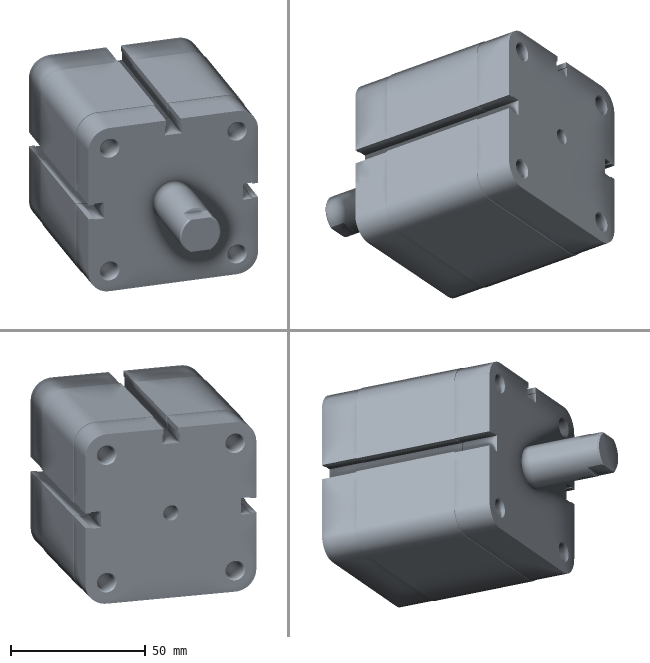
import cadquery as cq

overall_length = 103.5
body_length = 71.0
tube_length = 41.5
tube_width = 67.0
cap_inset = 0.25

hole_spacing = 50.0
hole_diameter = 6.6
hole_chamfer = 0.5
port_diameter = 6.0

slot_mouth_width = 5.2
slot_inner_width = 6.0
slot_lip = 2.7
slot_depth = 6.0

rod_diameter = 16.0
rod_chamfer = 0.5
flat_width = 13.0
flat_length = 6.3
flat_runout = 0.3

cap_length = (body_length - tube_length) / 2
tube_start = cap_length
front_cap_start = cap_length + tube_length
rod_length = overall_length - body_length
corner_radius = (tube_width - hole_spacing) / 2
slot_angles = (0, 90, -90)


def slot_cutter(start, length, inset):
    """T-slot in the +Z side; the inset widens and deepens it."""
    half_mouth = slot_mouth_width / 2 + inset
    half_inner = slot_inner_width / 2 + inset
    side = tube_width / 2
    lip_bottom = side - slot_lip + inset
    slot_bottom = side - slot_depth - inset
    return (
        cq.Workplane("YZ", origin=(start, 0, 0))
        .moveTo(-half_mouth, side)
        .lineTo(-half_mouth, lip_bottom)
        .lineTo(-half_inner, lip_bottom)
        .lineTo(-half_inner, slot_bottom)
        .lineTo(half_inner, slot_bottom)
        .lineTo(half_inner, lip_bottom)
        .lineTo(half_mouth, lip_bottom)
        .lineTo(half_mouth, side)
        .close()
        .extrude(length)
    )


def body_section(start, length, inset):
    """Rounded square block with three T-slots and four through holes along X."""
    width = tube_width - 2 * inset
    block = (
        cq.Workplane("YZ", origin=(start, 0, 0))
        .rect(width, width)
        .extrude(length)
        .edges("|X")
        .fillet(corner_radius - inset)
    )
    slot = slot_cutter(start, length, inset)
    for angle in slot_angles:
        block = block.cut(slot.rotate((0, 0, 0), (1, 0, 0), angle))
    holes = (
        cq.Workplane("YZ", origin=(start, 0, 0))
        .rect(hole_spacing, hole_spacing, forConstruction=True)
        .vertices()
        .circle(hole_diameter / 2)
        .extrude(length)
    )
    return block.cut(holes)


def chamfer_holes(cap, outer_face):
    """Chamfer the mouths of the four through holes on a cap's outer face."""
    smallest_circles = cq.selectors.RadiusNthSelector(0)
    return cap.faces(outer_face).edges(smallest_circles).chamfer(hole_chamfer)


rear_cap = chamfer_holes(body_section(0, cap_length, cap_inset), "<X")
port = cq.Workplane("YZ").circle(port_diameter / 2).extrude(cap_length)
rear_cap = rear_cap.cut(port)

tube = body_section(tube_start, tube_length, 0)

front_cap = chamfer_holes(body_section(front_cap_start, cap_length, cap_inset), ">X")


def flat_cutter():
    """Material removed above the upper flat; its inner wall slopes."""
    rod_radius = rod_diameter / 2
    flat_start = overall_length - flat_length
    return (
        cq.Workplane("XZ")
        .moveTo(flat_start, flat_width / 2)
        .lineTo(overall_length, flat_width / 2)
        .lineTo(overall_length, rod_radius)
        .lineTo(flat_start - flat_runout, rod_radius)
        .close()
        .extrude(rod_radius, both=True)
    )


piston_rod = (
    cq.Workplane("YZ", origin=(body_length, 0, 0))
    .circle(rod_diameter / 2)
    .extrude(rod_length)
    .faces(">X")
    .chamfer(rod_chamfer)
)
upper_flat = flat_cutter()
piston_rod = piston_rod.cut(upper_flat).cut(upper_flat.mirror("XY"))

result = cq.Compound.makeCompound(
    [rear_cap.val(), tube.val(), front_cap.val(), piston_rod.val()]
)